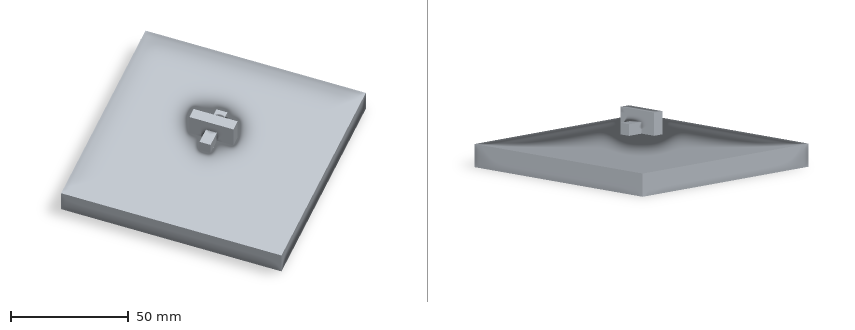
import cadquery as cq

plate_side = 100.0
plate_thickness = 10.0

gap = 5.0
bar_length = 20.0
bar_width = 5.0
tall_bar_height = 10.0
low_bar_height = tall_bar_height / 2
cross_bottom = plate_thickness + gap


def block(size_x, size_y, height, bottom):
    """Box centred on the Z axis, standing on the given level."""
    return cq.Workplane("XY").workplane(offset=bottom).box(
        size_x, size_y, height, centered=(True, True, False)
    )


def make_plate():
    return block(plate_side, plate_side, plate_thickness, 0)


def make_cross():
    tall_bar = block(bar_length, bar_width, tall_bar_height, cross_bottom)
    low_bar = block(bar_width, bar_length, low_bar_height, cross_bottom)
    return tall_bar.union(low_bar)


plate = make_plate()
cross = make_cross()

result = cq.Compound.makeCompound([plate.val(), *cross.solids().vals()])